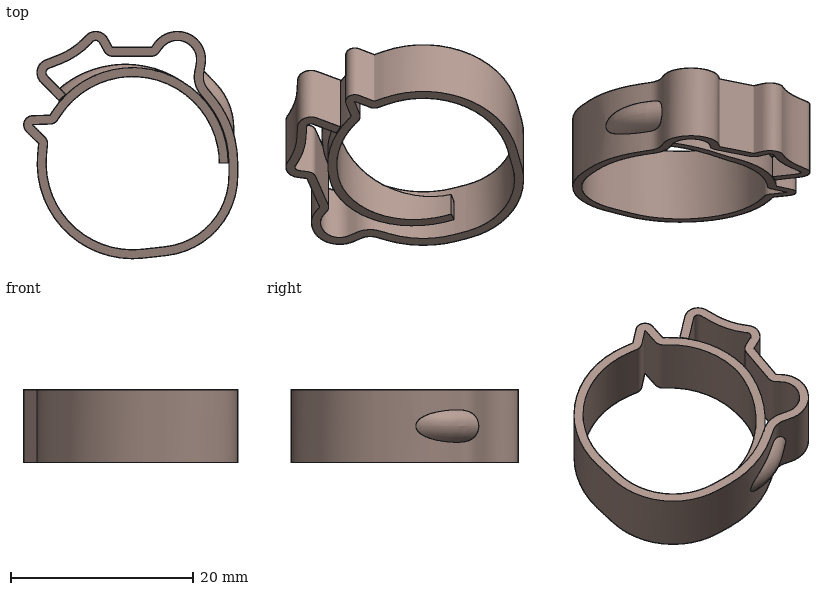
import cadquery as cq
import math


WIDTH = 8.0
THICKNESS = 1.0
HALF_THICKNESS = THICKNESS / 2
MID_HEIGHT = WIDTH / 2

RING_RADIUS = 10.0
RING_OUTER = RING_RADIUS + HALF_THICKNESS
OVERLAP_GAP = 0.05
OVERLAP_RADIUS = RING_RADIUS + THICKNESS + OVERLAP_GAP
OVERLAP_OUTER = OVERLAP_RADIUS + HALF_THICKNESS
TIGHT_BEND = 0.53

TONGUE_END_WIDTH = 3.0
TONGUE_TILT = 21.0
TAPER_START = -4.75
TAPER_END = 9.85
TAPER_BLEND_RADIUS = 10.0
TAPER_ANGLE = math.radians(10.4)

BEAD_SECTION_RADIUS = 2.0
HOOK_CENTRE = (-0.81, -0.27)
HOOK_CREST_RADIUS = 11.15
BEAD_CENTRE = (3.90, 3.80)
BEAD_CREST_RADIUS = 7.22
BEAD_RUNOUT_ANGLE = 44.0
BEAD_RUNOUT_LENGTH = 3.0
BEAD_EMBED = 0.05
EAR_NECK_X = 7.5

CW = 1
CCW = -1

CLIP_END = (-7.72, 7.21)
BENDS = [
    ((-9.02, 9.95), 1.00, CW),
    ((-11.08, 19.24), 8.41, CCW),
    ((-4.06, 13.01), 0.97, CW),
    ((-2.21, 12.77), TIGHT_BEND, CCW),
    ((2.05, 12.77), TIGHT_BEND, CCW),
    ((4.91, 11.38), 2.60, CW),
    ((9.75, 9.48), 2.50, CCW),
    ((0.0, 0.0), OVERLAP_RADIUS, CW),
    ((2.75, -1.40), 8.30, CW),
    ((0.0, 0.0), RING_RADIUS, CW),
    ((-10.37, 2.15), TIGHT_BEND, CCW),
    ((-10.96, 4.21), 0.52, CW),
    ((-9.10, 5.32), TIGHT_BEND, CCW),
    ((0.0, 0.0), RING_RADIUS, CW),
]
TAIL_END_ANGLE = 0.0


def travel_angle(start, start_radius, end, end_radius):
    """Heading of the common tangent of two bends; a radius is positive for a clockwise bend."""
    dx = end[0] - start[0]
    dy = end[1] - start[1]
    lean = math.asin((end_radius - start_radius) / math.hypot(dx, dy))
    return math.atan2(dy, dx) + lean


def polar(centre, radius, angle):
    return (centre[0] + radius * math.cos(angle), centre[1] + radius * math.sin(angle))


def strip_outline():
    """Left and right face of the strip: start point and bend arcs as (first, middle, last) points."""
    stops = [(CLIP_END, 0.0)] + [(centre, radius * turn) for centre, radius, turn in BENDS]
    headings = [travel_angle(*a, *b) for a, b in zip(stops, stops[1:])]
    headings.append(TAIL_END_ANGLE - math.pi / 2)
    faces = []
    for offset in (HALF_THICKNESS, -HALF_THICKNESS):
        arcs = []
        for (centre, radius, turn), heading_in, heading_out in zip(BENDS, headings, headings[1:]):
            swing = turn * ((heading_in - heading_out) * turn % (2 * math.pi))
            signed = radius * turn + offset
            normals = [heading_in + math.pi / 2 - swing * part for part in (0, 0.5, 1)]
            arcs.append([polar(centre, signed, normal) for normal in normals])
        start = polar(CLIP_END, offset, headings[0] + math.pi / 2)
        faces.append((start, arcs))
    return faces


def make_strip():
    (left_start, left_arcs), (right_start, right_arcs) = strip_outline()
    sketch = cq.Workplane("XY").moveTo(*left_start)
    for first, middle, last in left_arcs:
        sketch = sketch.lineTo(*first).threePointArc(middle, last)
    for first, middle, last in reversed(right_arcs):
        sketch = sketch.lineTo(*last).threePointArc(middle, first)
    return sketch.lineTo(*right_start).close().extrude(WIDTH)


def make_taper_cutters():
    """Wedges above and below the tongue, kept within the outer radius of the tail."""
    tilt = math.radians(TONGUE_TILT)
    plane = cq.Plane(
        origin=(0, 0, MID_HEIGHT),
        xDir=(math.cos(tilt), -math.sin(tilt), 0),
        normal=(math.sin(tilt), math.cos(tilt), 0),
    )

    def blend_point(angle):
        along = TAPER_START + TAPER_BLEND_RADIUS * math.sin(angle)
        drop = TAPER_BLEND_RADIUS * (1 - math.cos(angle))
        return along, MID_HEIGHT - drop

    outline = [blend_point(TAPER_ANGLE / 2), blend_point(TAPER_ANGLE), (TAPER_END, TONGUE_END_WIDTH / 2)]
    outline += [(TAPER_END + THICKNESS, TONGUE_END_WIDTH / 2), (TAPER_END + THICKNESS, MID_HEIGHT)]
    tail_zone = cq.Workplane("XY").circle(RING_OUTER + OVERLAP_GAP / 2).extrude(WIDTH)
    cutters = []
    for side in (1, -1):
        middle, blend_end, *rest = [(along, side * height) for along, height in outline]
        wedge = cq.Workplane(plane).moveTo(TAPER_START, side * MID_HEIGHT).threePointArc(middle, blend_end)
        for point in rest:
            wedge = wedge.lineTo(*point)
        cutters.append(wedge.close().extrude(OVERLAP_OUTER).intersect(tail_zone))
    return cutters


def make_dome_ring(centre, crest_radius):
    """Ring of round section at mid width whose outermost circle is the bead crest."""
    ring = cq.Solid.makeTorus(crest_radius - BEAD_SECTION_RADIUS, BEAD_SECTION_RADIUS)
    return cq.Workplane(ring).translate((*centre, MID_HEIGHT))


def make_overlap_bead():
    runout = math.radians(BEAD_RUNOUT_ANGLE)
    axis_start = polar(BEAD_CENTRE, BEAD_CREST_RADIUS - BEAD_SECTION_RADIUS, runout)
    straight = cq.Solid.makeCylinder(
        BEAD_SECTION_RADIUS,
        BEAD_RUNOUT_LENGTH,
        cq.Vector(*axis_start, MID_HEIGHT),
        cq.Vector(-math.sin(runout), math.cos(runout), 0),
    )
    reach = 2 * OVERLAP_OUTER
    sector = (
        cq.Workplane("XY")
        .moveTo(*BEAD_CENTRE)
        .lineTo(*polar(BEAD_CENTRE, reach, runout))
        .lineTo(BEAD_CENTRE[0] + reach, 0)
        .lineTo(BEAD_CENTRE[0], 0)
        .close()
        .extrude(WIDTH)
    )
    curved = make_dome_ring(BEAD_CENTRE, BEAD_CREST_RADIUS).intersect(sector)
    under_strip = cq.Workplane("XY").circle(OVERLAP_OUTER - BEAD_EMBED).extrude(WIDTH)
    neck_side = cq.Workplane("XY").box(reach, reach, WIDTH, centered=(False, False, False))
    return curved.union(cq.Workplane(straight)).cut(under_strip).intersect(
        neck_side.translate((EAR_NECK_X, 0, 0))
    )


def make_band():
    band = make_strip()
    for cutter in make_taper_cutters():
        band = band.cut(cutter)
    return band.union(make_overlap_bead())


def make_hook():
    """Domed hook on the back of the tail; it starts at the inner face of the clip leg."""
    nose_centre, nose_radius, _ = BENDS[0]
    leg_heading = travel_angle(CLIP_END, 0.0, nose_centre, nose_radius)
    leg_face = polar(CLIP_END, -HALF_THICKNESS, leg_heading + math.pi / 2)
    reach = 2 * OVERLAP_OUTER
    clip_side = cq.Workplane("XY").box(reach, reach, WIDTH, centered=(True, False, False))
    clip_side = clip_side.rotate((0, 0, 0), (0, 0, 1), math.degrees(leg_heading) + 180)
    clip_side = clip_side.translate((*leg_face, 0))
    tail = cq.Workplane("XY").circle(RING_OUTER).extrude(WIDTH)
    return make_dome_ring(HOOK_CENTRE, HOOK_CREST_RADIUS).intersect(clip_side).cut(tail)


band = make_band()
hook = make_hook()
result = cq.Compound.makeCompound([band.val(), hook.val()])